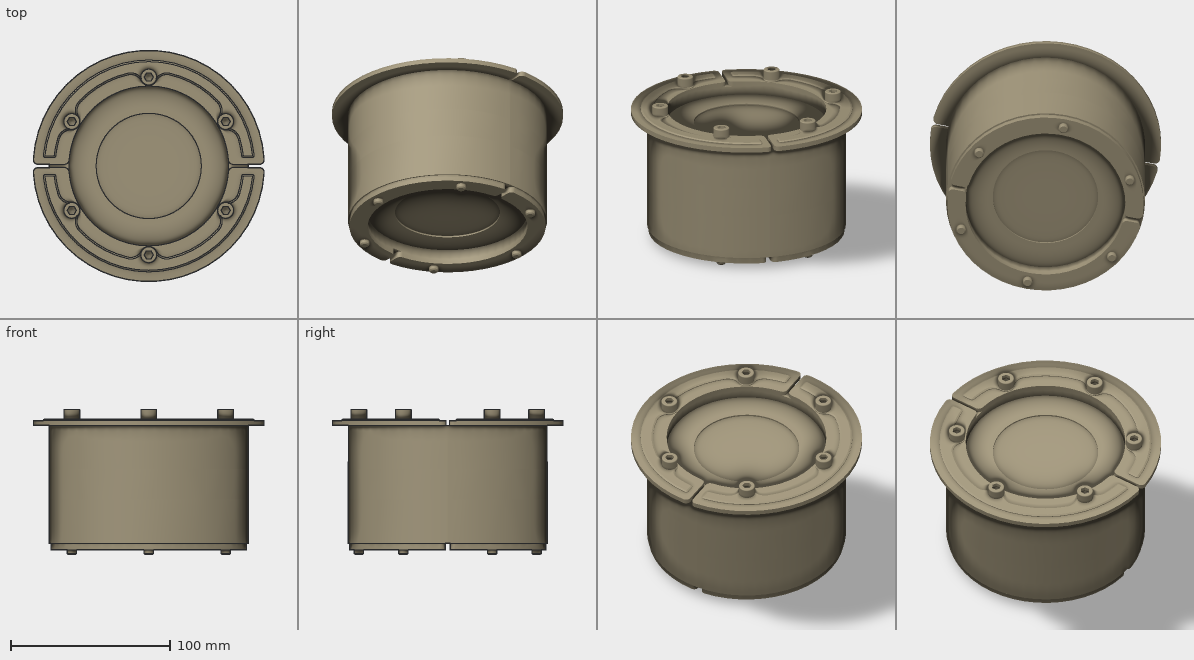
import cadquery as cq
import math


screw_tip_length = 3.0
bottom_plate_thickness = 4.0
end_band_height = 27.5
middle_band_height = 19.0
flange_thickness = 3.0
pad_height = 1.0

bottom_plate_z = screw_tip_length
body_z = bottom_plate_z + bottom_plate_thickness
flange_z = body_z + 2 * end_band_height + middle_band_height
pad_z = flange_z + flange_thickness
head_z = pad_z + pad_height

body_radius = 62.4
bore_radius = 50.1
core_radius = 33.0
sleeve_count = 15
sleeve_thickness = (bore_radius - core_radius) / sleeve_count
sleeve_recess = 5.75
core_recess = sleeve_recess + 1.0

flange_radius = 72.5
flange_gap = 2.0
bottom_plate_radius = 61.5
bottom_plate_gap = 3.0
plate_corner_radius = 3.0

pad_outer_radius = 66.4
pad_inner_radius = 58.6
pad_end_y = 5.2
pad_corner_radius = 1.5
pad_bevel_height = 0.5
pad_bevel_width = 1.0
boss_radius = 5.25
boss_blend_radius = 7.5

screw_circle_radius = 55.7
screws_per_half = 3
first_screw_angle = 30.0
screw_span_angle = 120.0
shank_diameter = 6.0
shank_chamfer = 0.75
head_diameter = 10.0
head_height = 6.0
head_edge_radius = 0.6
socket_sides = 6
socket_width = 5.0
socket_depth = 3.0
socket_cone_angle = 120.0


def half_ring(outer_radius, inner_radius, z, height):
    """Half ring on the +Y side of the plane Y = 0."""
    base = cq.Vector(0, 0, z)
    axis = cq.Vector(0, 0, 1)
    outer = cq.Solid.makeCylinder(outer_radius, height, base, axis, 180)
    inner = cq.Solid.makeCylinder(inner_radius, height, base, axis)
    return outer.cut(inner)


def trimmed_half_ring(outer_radius, inner_radius, z, height, end_y):
    """Half ring whose two ends stop at Y = end_y."""
    trim = cq.Workplane().box(4 * outer_radius, 2 * end_y, 2 * height).translate((0, 0, z + height / 2))
    return cq.Workplane(half_ring(outer_radius, inner_radius, z, height)).cut(trim)


def half_plate(outer_radius, z, thickness, gap):
    """Half of a split end plate with rounded corners."""
    plate = trimmed_half_ring(outer_radius, bore_radius, z, thickness, gap / 2)
    return plate.edges("|Z").fillet(plate_corner_radius).val()


def screw_centres():
    """Screw positions of the +Y half."""
    centres = []
    for index in range(screws_per_half):
        step = screw_span_angle / (screws_per_half - 1)
        angle = math.radians(first_screw_angle + index * step)
        centres.append((screw_circle_radius * math.cos(angle), screw_circle_radius * math.sin(angle)))
    return centres


def raised_pad():
    """Arc-shaped pad that swells inward around each screw, with a bevelled rim."""
    band = trimmed_half_ring(pad_outer_radius, pad_inner_radius, pad_z, pad_height, pad_end_y)
    bosses = (
        cq.Workplane("XY", origin=(0, 0, pad_z))
        .polarArray(screw_circle_radius, first_screw_angle, screw_span_angle, screws_per_half)
        .circle(boss_radius)
        .extrude(pad_height)
    )
    pad = band.union(bosses)
    pad = pad.edges("|Z").edges("not <Y").fillet(boss_blend_radius)
    pad = pad.edges("|Z").edges("<Y").fillet(pad_corner_radius)
    rim = pad.faces(">Z").edges()
    return rim.chamfer(pad_bevel_width, pad_bevel_height).val()


def socket():
    """Hexagonal recess, flats facing +-Y, that ends in a cone."""
    corner_diameter = socket_width / math.cos(math.pi / socket_sides)
    corner_radius = corner_diameter / 2
    cone_depth = corner_radius / math.tan(math.radians(socket_cone_angle / 2))
    top_z = head_z + head_height
    depth = socket_depth + cone_depth
    floor = cq.Workplane("XY", origin=(0, 0, top_z - depth))
    hexagon = floor.polygon(socket_sides, corner_diameter).extrude(depth)
    envelope = (
        cq.Workplane("XZ")
        .polyline(
            [
                (0, top_z - depth),
                (corner_radius, top_z - socket_depth),
                (corner_radius, top_z),
                (0, top_z),
            ]
        )
        .close()
        .revolve(360, (0, 0), (0, 1))
    )
    return hexagon.intersect(envelope)


def screw():
    """Socket head screw on the Z axis, running through the whole sleeve."""
    shank = cq.Workplane().circle(shank_diameter / 2).extrude(head_z)
    shank = shank.faces("<Z").chamfer(shank_chamfer)
    head = cq.Workplane("XY", origin=(0, 0, head_z)).circle(head_diameter / 2).extrude(head_height)
    head = head.faces(">Z").edges().fillet(head_edge_radius).cut(socket())
    return shank.union(head).val()


def half_body():
    """Three stacked bands of the outer body."""
    bands = []
    z = body_z
    for height in (end_band_height, middle_band_height, end_band_height):
        bands.append(half_ring(body_radius, bore_radius, z, height))
        z += height
    return bands


def half_sleeves():
    """Nested thin sleeves that fill the bore, recessed at both ends."""
    z = body_z + sleeve_recess
    length = flange_z - body_z - 2 * sleeve_recess
    sleeves = []
    for index in range(sleeve_count):
        inner_radius = core_radius + index * sleeve_thickness
        sleeves.append(half_ring(inner_radius + sleeve_thickness, inner_radius, z, length))
    return sleeves


def core():
    """Solid plug in the centre, set slightly deeper than the sleeves."""
    length = flange_z - body_z - 2 * core_recess
    return cq.Solid.makeCylinder(core_radius, length, cq.Vector(0, 0, body_z + core_recess))


half_parts = [
    half_plate(flange_radius, flange_z, flange_thickness, flange_gap),
    raised_pad(),
    half_plate(bottom_plate_radius, bottom_plate_z, bottom_plate_thickness, bottom_plate_gap),
]
half_parts += half_body()
half_parts += half_sleeves()
half_parts += [screw().translate(cq.Vector(x, y, 0)) for x, y in screw_centres()]

other_half_parts = [part.rotate((0, 0, 0), (0, 0, 1), 180) for part in half_parts]

fused = core().fuse(*half_parts, *other_half_parts)
result = cq.Workplane(fused.Solids()[0])